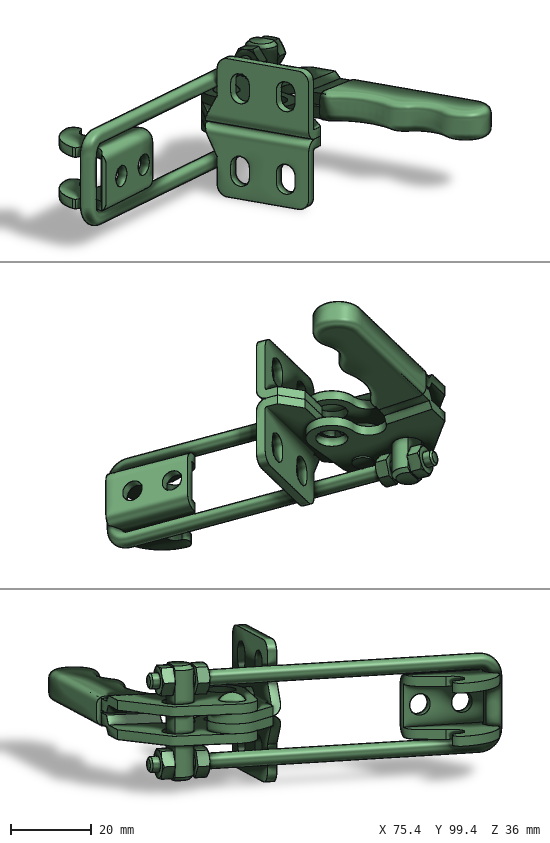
import cadquery as cq
import math


SHEET = 2.5
OVERALL_Y = 99.35
GRIP_TOP = 28.4
BOLT_END = GRIP_TOP - OVERALL_Y

LEVER_TURN = -6.5
EYE_U = 13.9
EYE_RADIUS = 6.5
EYE_HOLE_RADIUS = 4.0
NOSE_RADIUS = 6.3
THROAT_V = 10.9
THROAT_RADIUS = THROAT_V - EYE_RADIUS
TANG_SLOPE = 10.0
TANG_NECK_U = 18.5
TANG_LOW_V = 21.4
TANG_END_U = 29.8
SHOULDER_V = 16.5
SHOULDER_FILLET = 2.0
CROWN_U = 5.4
LEVER_TOP = 27.2
JOGGLE_START_U = 12.1
JOGGLE_END_U = 13.6
LEVER_HALF = 2 * SHEET
TANG_SLOT_HALF = 0.25
TANG_HALF = 3.3

GRIP_START_U = 17.5
GRIP_HALF = 3.8
GRIP_ROUND = 2.0
GRIP_TIP_RADIUS = 6.4
GRIP_LOBES = (
    ((55.8, GRIP_TOP - GRIP_TIP_RADIUS), GRIP_TIP_RADIUS),
    ((39.7, 19.6), 5.1),
    ((20.8, 15.6), 2.5),
)
FINGER_RADII = (7.9, 16.4)

FLANGE_LEFT = 5.2
FLANGE_RIGHT = 31.5
FLANGE_FACE = -13.5
FLANGE_TOP = 18.0
FLANGE_CORNER = 3.0
BEND_INNER = 0.5
BEND_OUTER = SHEET + BEND_INNER
GUSSET_TOP = 7.9
SLOT_WIDTH = 5.4
SLOT_LENGTH = 7.7
SLOT_Z = 10.7
SLOT_SPACING = 13.1
WEB_FOOT_X = 0.8
WEB_SHOULDER_Y = -2.5
WEB_CHAMFER = 5.1
WEB_NOTCH = (13.8, -0.6)
STOP_X = 14.3
STOP_RADIUS = 2.6
STOP_TOP = -8.1
STOP_BOTTOM = -9.9

RIVET_RADIUS = 2.8
RIVET_TAIL = 0.5
RIVET_HEAD_RADIUS = 3.4
RIVET_HEAD_HEIGHT = 1.8

PIN_CENTER = (2.1, 13.6)
PIN_RADIUS = 4.0
PIN_FLAT = 1.9
PIN_HALF = 14.5
PIN_CHAMFER = 1.0
BOLT_TILT = -1.0
ROD_RADIUS = 2.0
LEG_Z = 10.5
BEND_RADIUS = 4.0
LEG_TOP = 7.65
LEG_CHAMFER = 0.5
NUT_FLATS = 7.1
NUT_THICKNESS = 3.3
NUT_TURN = -7.0
NUT_CHAMFER_ANGLE = 30.0

HOOK_BACK = 5.8
HOOK_TOP = -46.1
HOOK_BOTTOM = -68.9
HOOK_HALF = 7.9
HOOK_FRONT = -0.1
THROAT_INLET = (-3.4, -55.0)
THROAT_BOTTOM = (-6.3, -58.7)
BEAK_INNER = (-9.2, -55.4)
BEAK_TIP = (-11.1, -54.0)
BEAK_OUTER = (-13.2, -55.8)
BELLY = (-9.5, -65.3)
BELLY_END_X = -3.9
HOOK_HOLE_RADIUS = 2.7
HOOK_BEND = 3.2
HOOK_SHOULDER = 3.8
HOOK_HOLES_Y = (-50.5, -61.5)
RELIEF_X = 0.7
RELIEF_RADIUS = 4.0
RELIEF_TOP = -66.3

FAR = 198.7

lever_angle = math.radians(LEVER_TURN)


def lever_point(u, v):
    """Turns lever coordinates into X, Y."""
    return (
        u * math.cos(lever_angle) - v * math.sin(lever_angle),
        u * math.sin(lever_angle) + v * math.cos(lever_angle),
    )


def slab(sketch, half):
    """Extrudes a closed XY outline to +-half in Z."""
    return sketch.extrude(half, both=True)


def disc(center, radius, half):
    return slab(cq.Workplane("XY").center(*center).circle(radius), half)


def left_of(u):
    """Everything to the left of the line u = constant."""
    box = cq.Workplane("XY").box(FAR, FAR, FAR).translate((u - FAR / 2, 0, 0))
    return box.rotate((0, 0, 0), (0, 0, 1), LEVER_TURN)


def make_rivet():
    shank = (
        cq.Workplane("XY").workplane(offset=-LEVER_HALF - RIVET_TAIL)
        .circle(RIVET_RADIUS).extrude(2 * LEVER_HALF + RIVET_TAIL)
    )
    dome_radius = (RIVET_HEAD_RADIUS**2 + RIVET_HEAD_HEIGHT**2) / (2 * RIVET_HEAD_HEIGHT)
    dome = cq.Workplane("XY").sphere(dome_radius)
    dome = dome.translate((0, 0, LEVER_HALF + RIVET_HEAD_HEIGHT - dome_radius))
    above = cq.Workplane("XY").box(FAR, FAR, FAR).translate((0, 0, LEVER_HALF + FAR / 2))
    return shank.union(dome.intersect(above))


def make_cross_pin():
    """Pin along Z through both lever arms, with a flat under the upper nuts."""
    pin = disc((0, 0), PIN_RADIUS, PIN_HALF).faces("|Z").chamfer(PIN_CHAMFER)
    flat = cq.Workplane("XY").box(FAR, FAR, FAR).translate((0, PIN_FLAT + FAR / 2, 0))
    return pin.cut(flat)


def make_rod():
    loop_y = (BOLT_END + ROD_RADIUS - PIN_CENTER[1]) / math.cos(math.radians(BOLT_TILT))
    bend_y = loop_y + BEND_RADIUS
    bend_z = LEG_Z - BEND_RADIUS
    diagonal = BEND_RADIUS * math.sqrt(0.5)
    path = (
        cq.Workplane("YZ").moveTo(LEG_TOP, LEG_Z)
        .lineTo(bend_y, LEG_Z)
        .threePointArc((bend_y - diagonal, bend_z + diagonal), (loop_y, bend_z))
        .lineTo(loop_y, -bend_z)
        .threePointArc((bend_y - diagonal, -bend_z - diagonal), (bend_y, -LEG_Z))
        .lineTo(LEG_TOP, -LEG_Z)
    )
    start = cq.Workplane("XZ", origin=(0, LEG_TOP, LEG_Z)).circle(ROD_RADIUS)
    return start.sweep(path).faces(">Y").chamfer(LEG_CHAMFER)


def make_nut(turn):
    """Hexagon nut along Y, seated at y = 0 and chamfered on its outer end."""
    corners = NUT_FLATS / math.cos(math.pi / 6)
    nut = cq.Workplane("XZ").polygon(6, corners).extrude(-NUT_THICKNESS)
    nut = nut.rotate((0, 0, 0), (0, 1, 0), turn)
    drop = (corners - NUT_FLATS) / 2 * math.tan(math.radians(NUT_CHAMFER_ANGLE))
    envelope = (
        cq.Workplane("XY").lineTo(corners / 2, 0)
        .lineTo(corners / 2, NUT_THICKNESS - drop)
        .lineTo(NUT_FLATS / 2, NUT_THICKNESS)
        .lineTo(0, NUT_THICKNESS).close()
        .revolve(360, (0, 0, 0), (0, 1, 0))
    )
    return nut.intersect(envelope)


def make_u_bolt():
    bolt = make_rod()
    for z in (LEG_Z, -LEG_Z):
        upper = make_nut(0).translate((0, PIN_FLAT, z))
        lower = make_nut(NUT_TURN).mirror("XZ").translate((0, -PIN_RADIUS, z))
        bolt = bolt.union(upper).union(lower)
    bolt = bolt.union(make_cross_pin())
    return bolt.rotate((0, 0, 0), (0, 0, 1), BOLT_TILT).translate((*PIN_CENTER, 0))


def lever_outline():
    slope = math.radians(TANG_SLOPE)
    throat_end = (EYE_U - THROAT_RADIUS * math.sin(slope), THROAT_V + THROAT_RADIUS * math.cos(slope))
    neck_v = throat_end[1] + (TANG_NECK_U - throat_end[0]) * math.tan(slope)
    tip = lever_point(TANG_END_U, TANG_LOW_V)
    lean = math.asin((EYE_RADIUS - NOSE_RADIUS) / EYE_U)
    nose_diagonal = NOSE_RADIUS * math.sqrt(0.5)

    def nose_edge(radius, u):
        return lever_point(u - radius * math.sin(lean), -radius * math.cos(lean))

    crown_x = CROWN_U + LEVER_TOP * math.tan(-lever_angle)
    return (
        cq.Workplane("XY").moveTo(*lever_point(-NOSE_RADIUS, 0))
        .threePointArc(lever_point(-nose_diagonal, -nose_diagonal), nose_edge(NOSE_RADIUS, 0))
        .lineTo(*nose_edge(EYE_RADIUS, EYE_U))
        .threePointArc(lever_point(EYE_U + EYE_RADIUS, 0), lever_point(EYE_U, EYE_RADIUS))
        .threePointArc(lever_point(EYE_U - THROAT_RADIUS, THROAT_V), lever_point(*throat_end))
        .lineTo(*lever_point(TANG_NECK_U, neck_v))
        .lineTo(*lever_point(TANG_NECK_U, TANG_LOW_V))
        .lineTo(*tip)
        .lineTo(tip[0], LEVER_TOP)
        .lineTo(crown_x, LEVER_TOP)
        .lineTo(*lever_point(-NOSE_RADIUS, SHOULDER_V))
        .close()
    )


def make_lever():
    blank = slab(lever_outline(), LEVER_HALF)
    shoulder = cq.selectors.NearestToPointSelector((*lever_point(-NOSE_RADIUS, SHOULDER_V), 0))
    blank = blank.edges("|Z").edges(shoulder).fillet(SHOULDER_FILLET)
    arms = slab(cq.Workplane("XY").rect(FAR, FAR), LEVER_HALF)
    arms = arms.cut(slab(cq.Workplane("XY").rect(FAR, FAR), SHEET))
    joggle = (
        cq.Workplane("XZ", origin=(0, THROAT_V, 0))
        .polyline([
            (JOGGLE_START_U, LEVER_HALF),
            (JOGGLE_END_U, TANG_HALF), (FAR, TANG_HALF),
            (FAR, -TANG_HALF), (JOGGLE_END_U, -TANG_HALF),
            (JOGGLE_START_U, -LEVER_HALF),
            (JOGGLE_START_U, -SHEET),
            (JOGGLE_END_U, -TANG_SLOT_HALF), (TANG_NECK_U, -TANG_SLOT_HALF),
            (TANG_NECK_U, TANG_SLOT_HALF), (JOGGLE_END_U, TANG_SLOT_HALF),
            (JOGGLE_START_U, SHEET),
        ])
        .close().extrude(-FAR)
    )
    beyond = (
        cq.Workplane("XY").box(FAR, FAR, FAR, centered=(False, False, True))
        .translate((JOGGLE_START_U, THROAT_V, 0))
    )
    section = arms.cut(beyond).union(joggle).rotate((0, 0, 0), (0, 0, 1), LEVER_TURN)
    lever = blank.intersect(section)
    lever = lever.cut(disc(lever_point(EYE_U, 0), EYE_HOLE_RADIUS, FAR))
    lever = lever.cut(disc((0, 0), RIVET_RADIUS, FAR))
    return lever.cut(disc(PIN_CENTER, PIN_RADIUS, FAR))


def toward(start, end, distance):
    """The point at a distance from start on the way to end."""
    ratio = distance / math.dist(start, end)
    return (start[0] + (end[0] - start[0]) * ratio, start[1] + (end[1] - start[1]) * ratio)


def finger_center(right_lobe, left_lobe, radius):
    """Center of a finger groove that lies below two lobes and touches both."""
    right, right_radius = right_lobe
    left, left_radius = left_lobe
    span = math.dist(right, left)
    to_right = right_radius + radius
    to_left = left_radius + radius
    along = (to_right**2 - to_left**2 + span**2) / (2 * span)
    aside = math.sqrt(to_right**2 - along**2)
    foot = toward(right, left, along)
    across = ((left[0] - right[0]) / span, (left[1] - right[1]) / span)
    return (foot[0] - across[1] * aside, foot[1] + across[0] * aside)


def grip_outline():
    tip_center, tip_radius = GRIP_LOBES[0]
    outline = (
        cq.Workplane("XY").moveTo(GRIP_START_U, GRIP_TOP)
        .lineTo(tip_center[0], GRIP_TOP)
    )
    arc_middle = (tip_center[0] + tip_radius, tip_center[1])
    for right, left, radius in zip(GRIP_LOBES, GRIP_LOBES[1:], FINGER_RADII):
        center = finger_center(right, left, radius)
        outline = outline.threePointArc(arc_middle, toward(right[0], center, right[1]))
        finger_top = (center[0], center[1] + radius)
        outline = outline.threePointArc(finger_top, toward(left[0], center, left[1]))
        arc_middle = (left[0][0], left[0][1] - left[1])
    heel_center, heel_radius = GRIP_LOBES[-1]
    heel_low = heel_center[1] - heel_radius
    return (
        outline.tangentArcPoint((heel_center[0], heel_low), relative=False)
        .lineTo(GRIP_START_U, heel_low)
        .close()
    )


def make_grip(lever):
    grip = slab(grip_outline(), GRIP_HALF).faces("|Z").edges().fillet(GRIP_ROUND)
    grip = grip.cut(left_of(GRIP_START_U))
    return grip.cut(lever)


def make_web():
    """Web of the upper angle, from the mid-plane up."""
    foot_y = FLANGE_FACE + SHEET
    tangent = math.atan2(foot_y, WEB_FOOT_X) - math.acos(NOSE_RADIUS / math.hypot(WEB_FOOT_X, foot_y))
    web = (
        cq.Workplane("XY").polyline([
            (NOSE_RADIUS * math.cos(tangent), NOSE_RADIUS * math.sin(tangent)),
            (WEB_FOOT_X, foot_y),
            (FLANGE_RIGHT, foot_y),
            (FLANGE_RIGHT, WEB_SHOULDER_Y - WEB_CHAMFER),
            (FLANGE_RIGHT - WEB_CHAMFER, WEB_SHOULDER_Y),
            (0, WEB_SHOULDER_Y),
        ]).close().extrude(SHEET)
    )
    web = web.union(cq.Workplane("XY").circle(NOSE_RADIUS).extrude(SHEET))
    return web.cut(disc(WEB_NOTCH, EYE_HOLE_RADIUS, FAR)).cut(disc((0, 0), RIVET_RADIUS, FAR))


def make_flange():
    """Flange of the upper angle, from the bend up, with its slots and sloped lower left edge."""
    middle_x = (FLANGE_RIGHT + FLANGE_LEFT) / 2
    height = FLANGE_TOP - BEND_OUTER
    flange = (
        cq.Workplane("XZ", origin=(middle_x, FLANGE_FACE, BEND_OUTER + height / 2))
        .rect(FLANGE_RIGHT - FLANGE_LEFT, height).extrude(-SHEET)
        .edges("|Y and >Z").fillet(FLANGE_CORNER)
    )
    slots = (
        cq.Workplane("XZ", origin=(middle_x, FLANGE_FACE, SLOT_Z))
        .rarray(SLOT_SPACING, 1, 2, 1)
        .slot2D(SLOT_LENGTH, SLOT_WIDTH, 90).extrude(-SHEET)
    )
    gusset = (
        cq.Workplane("XY", origin=(WEB_FOOT_X, FLANGE_FACE, BEND_OUTER))
        .box(FLANGE_LEFT - WEB_FOOT_X, SHEET, GUSSET_TOP - BEND_OUTER, centered=False)
    )
    return flange.cut(slots).union(gusset)


def make_bend():
    """Quarter bend from the web to the flange, starting at the foot of the web."""
    center_y = FLANGE_FACE + BEND_OUTER
    outer_diagonal = BEND_OUTER * (1 - math.sqrt(0.5))
    inner_diagonal = BEND_OUTER - BEND_INNER * math.sqrt(0.5)
    bend = (
        cq.Workplane("YZ", origin=(WEB_FOOT_X, 0, 0)).moveTo(center_y, 0)
        .threePointArc((FLANGE_FACE + outer_diagonal, outer_diagonal), (FLANGE_FACE, BEND_OUTER))
        .lineTo(FLANGE_FACE + SHEET, BEND_OUTER)
        .threePointArc((FLANGE_FACE + inner_diagonal, inner_diagonal), (center_y, SHEET))
        .close().extrude(FLANGE_RIGHT - WEB_FOOT_X)
    )
    above_foot = (
        cq.Workplane("XY", origin=(WEB_FOOT_X, FLANGE_FACE + SHEET, 0))
        .box(FLANGE_LEFT - WEB_FOOT_X, BEND_INNER, BEND_OUTER, centered=False)
    )
    return bend.cut(above_foot)


def make_angle():
    """The upper angle; its left edge slopes from the foot of the web out to the flange."""
    slope_cut = (
        cq.Workplane("XZ", origin=(0, FLANGE_FACE + SHEET, 0))
        .polyline([(WEB_FOOT_X, 0), (WEB_FOOT_X, GUSSET_TOP), (FLANGE_LEFT, GUSSET_TOP)])
        .close().extrude(SHEET)
    )
    foot = make_flange().union(make_bend()).cut(slope_cut)
    return make_web().union(foot)


def make_stop():
    """Half-round stop lying on the upper web, below the eye of the lever."""
    stop = (
        cq.Workplane("XZ", origin=(STOP_X, STOP_TOP, SHEET))
        .circle(STOP_RADIUS).extrude(STOP_TOP - STOP_BOTTOM)
    )
    return stop.cut(cq.Workplane("XY").box(FAR, FAR, 2 * SHEET))


def hook_outline():
    return (
        cq.Workplane("XY").moveTo(HOOK_BACK, HOOK_TOP)
        .lineTo(HOOK_FRONT, HOOK_TOP)
        .lineTo(*THROAT_INLET)
        .threePointArc(THROAT_BOTTOM, BEAK_INNER)
        .threePointArc(BEAK_TIP, BEAK_OUTER)
        .threePointArc(BELLY, (BELLY_END_X, HOOK_BOTTOM))
        .lineTo(HOOK_BACK, HOOK_BOTTOM)
        .close()
    )


def make_hook():
    hook = slab(hook_outline(), HOOK_HALF)
    hook = hook.faces(">Y").edges("|Z and <X").fillet(HOOK_SHOULDER)
    hook = hook.faces(">X").edges("|Y").fillet(HOOK_BEND)
    channel = cq.Workplane("XY").box(FAR, FAR, 2 * (HOOK_HALF - SHEET))
    hook = hook.cut(channel.translate((HOOK_BACK - SHEET - FAR / 2, 0, 0)))
    hook = hook.cut(disc((RELIEF_X, RELIEF_TOP - RELIEF_RADIUS), RELIEF_RADIUS, FAR))
    for y in HOOK_HOLES_Y:
        hook = hook.cut(cq.Workplane("YZ").center(y, 0).circle(HOOK_HOLE_RADIUS).extrude(FAR))
    return hook


rivet = make_rivet()
u_bolt = make_u_bolt()
lever = make_lever()
grip = make_grip(lever)
upper_angle = make_angle().union(make_stop())
lower_angle = make_angle().mirror("XY")
hook = make_hook()

result = cq.Compound.makeCompound([
    rivet.val(),
    u_bolt.val(),
    lever.val(),
    grip.val(),
    upper_angle.val(),
    lower_angle.val(),
    hook.val(),
])